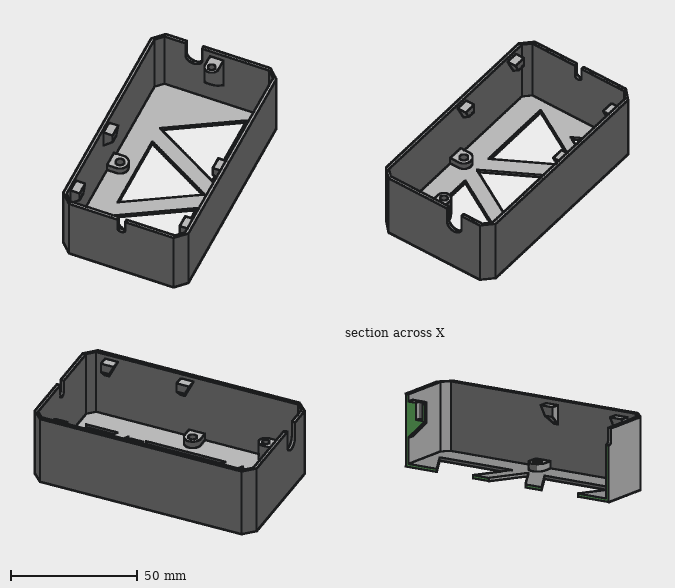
import cadquery as cq
import math

width = 54.0
length = 97.0
height = 30.0
wall = 1.5
floor = 1.5
corner_cut = 4.5
inner_half_width = width / 2 - wall
inner_half_length = length / 2 - wall

window_depth = 30.0
window_pitch = 25.0
small_window_depth = 12.0
small_window_base_x = -15.8
small_window_y = -37.1

floor_boss_x = 21.4
floor_boss_radius = 3.5
floor_boss_top = 4.5
floor_hole_diameter = 3.5

screw_boss_y = 42.0
screw_boss_radius = 2.9
screw_boss_top = height - 2.9
screw_boss_tip_height = 7.0
screw_hole_diameter = 3.0

clip_reach = 4.0
clip_width = 5.6
clip_tip_height = 4.0
clip_top = 27.9
clip_lean = 1.9
clip_positions_y = (-4.3, -37.3)

rear_notch_x = -9.9
rear_notch_radius = 3.6
rear_notch_depth = 10.6
front_notch_radius = 1.65
front_notch_depth = 6.7


def chamfered_block(size_x, size_y, size_z, cut):
    block = cq.Workplane("XY").box(size_x, size_y, size_z, centered=(True, True, False))
    return block.edges("|Z").chamfer(cut)


def make_tray():
    cavity = chamfered_block(
        2 * inner_half_width, 2 * inner_half_length, height - floor, corner_cut - wall
    ).translate((0, 0, floor))
    return chamfered_block(width, length, height, corner_cut).cut(cavity)


def window(apex_x, base_x, center_y):
    """Equilateral triangle cut through the floor, pointing along X."""
    half_base = abs(apex_x - base_x) / math.sqrt(3)
    corners = [(apex_x, center_y), (base_x, center_y + half_base), (base_x, center_y - half_base)]
    return cq.Workplane("XY").polyline(corners).close().extrude(floor)


def floor_boss(side):
    """Round-ended boss reaching from the side wall; side is -1 or +1 along X."""
    center_x = side * floor_boss_x
    root_x = side * (inner_half_width + wall / 2)
    root_length = abs(root_x - center_x)
    boss_height = floor_boss_top - floor
    root = (
        cq.Workplane("XY", origin=((center_x + root_x) / 2, 0, floor))
        .rect(root_length, 2 * floor_boss_radius)
        .extrude(boss_height)
    )
    tip = (
        cq.Workplane("XY", origin=(center_x, 0, floor))
        .circle(floor_boss_radius)
        .extrude(boss_height)
    )
    return root.union(tip)


def bracket_profile(reach, top, tip_height):
    """Bracket side profile from wall to tip, with a 45 degree underside, rooted in mid-wall."""
    root = -wall / 2
    return [
        (root, top),
        (reach, top),
        (reach, top - tip_height),
        (root, top - tip_height - reach + root),
    ]


def clip(side, center_y):
    """Clip on a side wall; its -Y side is upright and its +Y side leans in towards the bottom."""
    profile = bracket_profile(clip_reach, clip_top, clip_tip_height)
    points = [(side * (inner_half_width - distance), z) for distance, z in profile]
    outline = cq.Workplane("XZ", origin=(0, center_y, 0)).polyline(points).close()
    wedge = outline.extrude(clip_width / 2, both=True)

    lowest = min(z for _, z in profile)
    total_lean = clip_lean * (clip_top - lowest) / clip_tip_height
    back_y = center_y + clip_width / 2
    lean_corners = [(back_y, clip_top), (back_y, lowest), (back_y - total_lean, lowest)]
    lean_cut = cq.Workplane("YZ").polyline(lean_corners).close().extrude(width / 2, both=True)
    return wedge.cut(lean_cut)


def screw_boss():
    reach = inner_half_length - screw_boss_y + screw_boss_radius
    profile = bracket_profile(reach, screw_boss_top, screw_boss_tip_height)
    points = [(inner_half_length - distance, z) for distance, z in profile]
    wedge = cq.Workplane("YZ").polyline(points).close().extrude(screw_boss_radius, both=True)
    root_length = inner_half_length + wall / 2 - screw_boss_y
    root = (
        cq.Workplane("XY")
        .center(0, screw_boss_y + root_length / 2)
        .rect(2 * screw_boss_radius, root_length)
        .extrude(height)
    )
    tip = cq.Workplane("XY").center(0, screw_boss_y).circle(screw_boss_radius).extrude(height)
    hole = (
        cq.Workplane("XY", origin=(0, screw_boss_y, screw_boss_top))
        .circle(screw_hole_diameter / 2)
        .extrude(-screw_boss_tip_height)
    )
    return wedge.intersect(root.union(tip)).cut(hole)


def notch(center_x, outer_y, radius, depth):
    """Round-bottomed slot open at the rim of an end wall."""
    center_z = height - depth + radius
    plane = cq.Workplane("XZ", origin=(center_x, outer_y, 0))
    outline = (
        plane.moveTo(-radius, height)
        .lineTo(-radius, center_z)
        .threePointArc((0, center_z - radius), (radius, center_z))
        .lineTo(radius, height)
        .close()
    )
    return outline.extrude(wall, both=True)


result = make_tray()

half_depth = window_depth / 2
for row, direction in ((1, -1), (0, 1), (-1, -1)):
    result = result.cut(window(direction * half_depth, -direction * half_depth, row * window_pitch))
small_window_apex_x = small_window_base_x + small_window_depth
result = result.cut(window(small_window_apex_x, small_window_base_x, small_window_y))

for side in (-1, 1):
    result = result.union(floor_boss(side))
    for clip_y in clip_positions_y:
        result = result.union(clip(side, clip_y))
    floor_hole = cq.Workplane("XY").center(side * floor_boss_x, 0).circle(floor_hole_diameter / 2)
    result = result.cut(floor_hole.extrude(floor_boss_top))

result = result.union(screw_boss())
result = result.cut(notch(rear_notch_x, length / 2, rear_notch_radius, rear_notch_depth))
result = result.cut(notch(0, -length / 2, front_notch_radius, front_notch_depth))